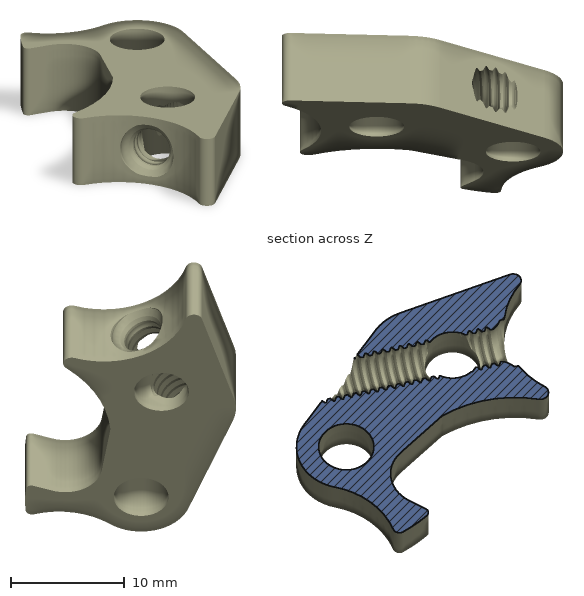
import cadquery as cq
import math

overall_x = 27.98
overall_y = 16.15
thickness = 6.35
pin_diameter = 4.8
right_pin = (13.4, -1.05)

boss_center = (0, 0)
boss_radius = 4.4
crown_center = (11.75, 1.2)
crown_radius = 4.67
pocket_center = (23.42, -8.4)
pocket_radius = 7.5
nose_radius = 0.73
nose_x = overall_x - boss_radius - nose_radius
prong_radius = 0.75
prong_y = crown_center[1] + crown_radius - overall_y + prong_radius

arch_center = (4.73, -15.08)
arch_radius = 11.08
hook_center = (2.35, -7.33)
hook_radius = 3.25
underside_slope = 3.8
hook_flank_slope = 8.0

waist_radius = 7.15
waist_start_angle = 206.5
foot_outer_y = -9.32
foot_middle = (-2.7, -9.85)
foot_inner_y = -10.13
foot_inner_corner_radius = 0.45
foot_outer_corner_radius = 0.6

mouth_diameter = 5.0
mouth_depth = -0.05
lead_in_diameter = 3.92
lead_in_depth = 0.42
thread_major_diameter = 4.17
thread_minor_diameter = 3.47
thread_pitch = 0.78
thread_crest_width = 0.25
thread_root_width = 0.08
thread_turns = 24
chamfer_depth = (mouth_diameter - thread_minor_diameter) / 2


def polar(center, radius, degrees):
    """Point on a circle at the given angle."""
    angle = math.radians(degrees)
    return center[0] + radius * math.cos(angle), center[1] + radius * math.sin(angle)


def direction(start, end):
    """Angle in degrees of the line from start to end."""
    return math.degrees(math.atan2(end[1] - start[1], end[0] - start[0]))


def upper_tangent_angle(left, left_radius, right, right_radius):
    """Angle of the normal of the line touching both circles from above."""
    lean = math.degrees(math.acos((left_radius - right_radius) / math.dist(left, right)))
    return direction(left, right) + lean


tangent_distance = pocket_radius + nose_radius
nose_center = (
    nose_x,
    pocket_center[1] + math.sqrt(tangent_distance**2 - (nose_x - pocket_center[0]) ** 2),
)
tangent_distance = pocket_radius + prong_radius
prong_center = (
    pocket_center[0] - math.sqrt(tangent_distance**2 - (prong_y - pocket_center[1]) ** 2),
    prong_y,
)
waist_center = polar(boss_center, boss_radius + waist_radius, waist_start_angle)


def outline():
    """Closed profile, clockwise from the lower left of the boss."""
    back_angle = upper_tangent_angle(boss_center, boss_radius, crown_center, crown_radius)
    slope_angle = upper_tangent_angle(crown_center, crown_radius, nose_center, nose_radius)
    pocket_top_angle = direction(pocket_center, nose_center)
    pocket_end_angle = direction(pocket_center, prong_center) % 360
    arch_end_angle = direction(arch_center, prong_center)
    underside_angle = 90 - underside_slope
    flank_angle = 180 + hook_flank_slope

    hook_top = polar(hook_center, hook_radius, underside_angle)
    hook_side = polar(hook_center, hook_radius, flank_angle)
    offset_x = hook_top[0] - arch_center[0]
    offset_y = hook_top[1] - arch_center[1]
    along = math.radians(-underside_slope)
    half_b = offset_x * math.cos(along) + offset_y * math.sin(along)
    reach = -half_b + math.sqrt(half_b**2 - offset_x**2 - offset_y**2 + arch_radius**2)
    arch_start = polar(hook_top, reach, -underside_slope)
    arch_start_angle = direction(arch_center, arch_start)

    flank_run = (hook_side[1] - foot_inner_y) * math.tan(math.radians(hook_flank_slope))
    foot_inner = (hook_side[0] + flank_run, foot_inner_y)
    foot_drop = foot_outer_y - waist_center[1]
    foot_outer = (waist_center[0] + math.sqrt(waist_radius**2 - foot_drop**2), foot_outer_y)

    profile = cq.Workplane("XY").moveTo(*polar(boss_center, boss_radius, waist_start_angle))

    def arc(center, radius, start_angle, end_angle):
        middle = polar(center, radius, (start_angle + end_angle) / 2)
        return profile.threePointArc(middle, polar(center, radius, end_angle))

    profile = arc(boss_center, boss_radius, waist_start_angle, back_angle)
    profile = profile.lineTo(*polar(crown_center, crown_radius, back_angle))
    profile = arc(crown_center, crown_radius, back_angle, slope_angle)
    profile = profile.lineTo(*polar(nose_center, nose_radius, slope_angle))
    profile = arc(nose_center, nose_radius, slope_angle, pocket_top_angle - 180)
    profile = arc(pocket_center, pocket_radius, pocket_top_angle, pocket_end_angle)
    profile = arc(prong_center, prong_radius, pocket_end_angle - 180, arch_end_angle - 180)
    profile = arc(arch_center, arch_radius, arch_end_angle, arch_start_angle)
    profile = profile.lineTo(*hook_top)
    profile = arc(hook_center, hook_radius, underside_angle, flank_angle)
    profile = profile.lineTo(*foot_inner)
    profile = profile.threePointArc(foot_middle, foot_outer)
    profile = arc(waist_center, waist_radius, direction(waist_center, foot_outer), waist_start_angle - 180)
    return profile.close(), foot_inner, foot_outer


def plate():
    """Extruded profile with the two foot corners rounded."""
    profile, foot_inner, foot_outer = outline()
    body = profile.extrude(thickness)
    corners = ((foot_inner, foot_inner_corner_radius), (foot_outer, foot_outer_corner_radius))
    for corner, radius in corners:
        edge = cq.selectors.NearestToPointSelector((*corner, thickness / 2))
        body = body.edges("|Z").edges(edge).fillet(radius)
    return body


def thread_cutter():
    """Threaded hole as ring grooves, aimed from the pocket through the right pin hole."""
    minor = thread_minor_diameter / 2
    major = thread_major_diameter / 2
    mouth_radius = mouth_diameter / 2
    flank_width = (thread_pitch - thread_crest_width - thread_root_width) / 2
    points = [(0, -chamfer_depth), (mouth_radius, -chamfer_depth), (mouth_radius, mouth_depth)]
    points.append((lead_in_diameter / 2, lead_in_depth))
    points.append((minor, chamfer_depth))
    for turn in range(thread_turns):
        depth = chamfer_depth + thread_crest_width + turn * thread_pitch
        points += [
            (minor, depth),
            (major, depth + flank_width),
            (major, depth + flank_width + thread_root_width),
            (minor, depth + thread_pitch - thread_crest_width),
        ]
    points.append((0, points[-1][1]))

    aim = direction(pocket_center, right_pin)
    axis = polar((0, 0), 1, aim)
    mouth = polar(pocket_center, pocket_radius, aim)
    plane = cq.Plane(origin=(*mouth, thickness / 2), xDir=(0, 0, 1), normal=(-axis[1], axis[0], 0))
    return cq.Workplane(plane).polyline(points).close().revolve(360, (0, 0), (0, 1))


pin_points = [boss_center, right_pin]
pin_holes = cq.Workplane("XY").pushPoints(pin_points).circle(pin_diameter / 2).extrude(thickness)
result = plate().cut(pin_holes).cut(thread_cutter())